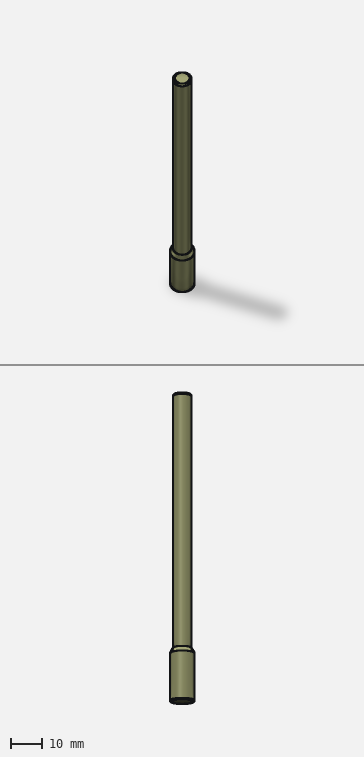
import cadquery as cq

total_length = 101.0
shank_diameter = 6.0
head_diameter = 7.9
shoulder_start = 16.0
shoulder_end = 17.7
shank_chamfer = 0.6
head_chamfer = 0.4


def make_head():
    """Cylindrical head with a chamfered lower rim and a tapered shoulder."""
    head_radius = head_diameter / 2
    return (
        cq.Workplane("XZ")
        .moveTo(0, 0)
        .lineTo(head_radius - head_chamfer, 0)
        .lineTo(head_radius, head_chamfer)
        .lineTo(head_radius, shoulder_start)
        .lineTo(shank_diameter / 2, shoulder_end)
        .lineTo(0, shoulder_end)
        .close()
        .revolve(360, (0, 0, 0), (0, 1, 0))
    )


def make_shank():
    """Long round shank standing on the head, chamfered at its free end."""
    return (
        cq.Workplane("XY")
        .workplane(offset=shoulder_end)
        .circle(shank_diameter / 2)
        .extrude(total_length - shoulder_end)
        .faces(">Z")
        .chamfer(shank_chamfer)
    )


head = make_head()
shank = make_shank()

result = cq.Compound.makeCompound([head.val(), shank.val()])